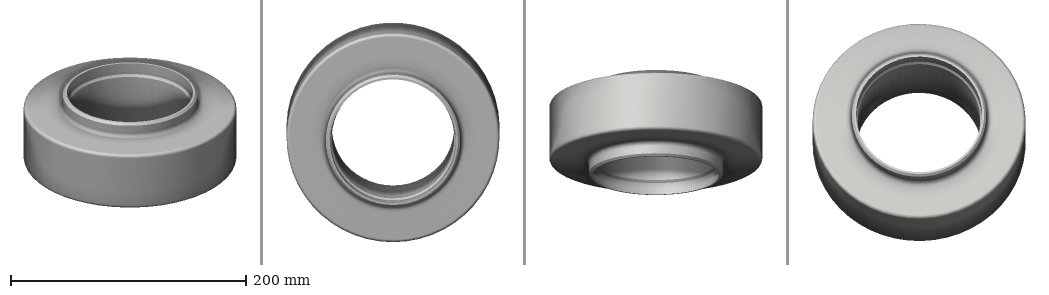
import cadquery as cq

rim_diameter = 181.0
rim_width = 51.0
hub_diameter = 114.2
hub_width = 76.5
bore_diameter = 104.0
recess_diameter = 107.2
recess_depth = 10.1
recess_taper_length = 2.2
rim_fillet = 2.7
hub_root_fillet = 3.6
hub_chamfer = 1.8


def centred_cylinder(diameter, width):
    """Cylinder along Z, centred on the origin."""
    return cq.Workplane("XY").circle(diameter / 2).extrude(width / 2, both=True)


rim = centred_cylinder(rim_diameter, rim_width).edges("%CIRCLE").fillet(rim_fillet)

hub = centred_cylinder(hub_diameter, hub_width).edges("%CIRCLE").chamfer(hub_chamfer)
body = rim.union(hub)

for face_side in (">Z[-2]", "<Z[-2]"):
    body = body.faces(face_side).edges(cq.selectors.RadiusNthSelector(0)).fillet(hub_root_fillet)

body = body.cut(centred_cylinder(bore_diameter, hub_width))

recess_step = (recess_diameter - bore_diameter) / 2
taper_start = hub_width / 2 - recess_depth
recess = (
    cq.Workplane("XY")
    .workplane(offset=taper_start - recess_taper_length)
    .circle(recess_diameter / 2)
    .extrude(recess_depth + recess_taper_length)
    .faces("<Z")
    .chamfer(recess_taper_length, recess_step)
)

result = body.cut(recess).cut(recess.mirror("XY"))